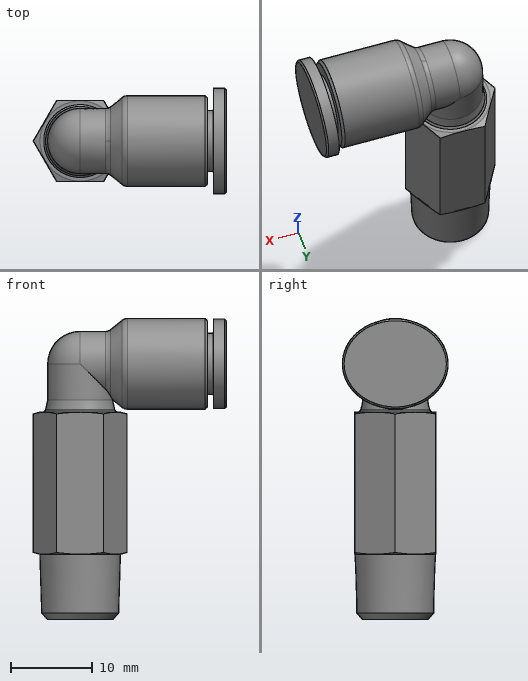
import cadquery as cq
import math

total_height = 37.0
thread_tip_radius = 4.0
thread_bottom_radius = 4.75
thread_top_radius = 4.95
thread_chamfer_height = 0.8

hex_bottom = 8.03
hex_top = 25.5
hex_across_flats = 10.0
hex_corner_radius = hex_across_flats / math.sqrt(3)
hex_chamfer_radius = 4.92
hex_chamfer_angle = 15.0

collar_base_radius = 4.48
collar_lip_radius = 4.25
collar_lip_z = 25.75
collar_top_z = 26.97

elbow_radius = 4.0
sleeve_radius = 5.6
sleeve_axis_z = total_height - sleeve_radius
cone_start_x = 3.48
cone_end_x = 5.45
cone_blend_radius = 1.0
sleeve_end_x = 15.65
sleeve_chamfer_length = 0.35
sleeve_chamfer_depth = 0.3

ring_neck_radius = 3.77
ring_neck_fillet = 0.1
ring_start_x = 16.35
ring_end_x = 17.95
ring_width = 13.0
ring_height = 11.03
ring_chamfer = 0.22


def make_thread():
    """Tapered thread envelope with a chamfered tip."""
    profile = [
        (0, 0),
        (thread_tip_radius, 0),
        (thread_bottom_radius, thread_chamfer_height),
        (thread_top_radius, hex_bottom),
        (0, hex_bottom),
    ]
    return cq.Workplane("XZ").polyline(profile).close().revolve(360, (0, 0), (0, 1))


def make_hexagon():
    """Hexagon with corners on the X axis, both ends turned to a shallow cone."""
    prism = (
        cq.Workplane("XY")
        .workplane(offset=hex_bottom)
        .polygon(6, 2 * hex_corner_radius)
        .extrude(hex_top - hex_bottom)
    )
    chamfer_width = hex_corner_radius - hex_chamfer_radius
    chamfer_drop = chamfer_width * math.tan(math.radians(hex_chamfer_angle))
    turned_profile = [
        (0, hex_bottom),
        (hex_chamfer_radius, hex_bottom),
        (hex_corner_radius, hex_bottom + chamfer_drop),
        (hex_corner_radius, hex_top - chamfer_drop),
        (hex_chamfer_radius, hex_top),
        (0, hex_top),
    ]
    turned = cq.Workplane("XZ").polyline(turned_profile).close().revolve(360, (0, 0), (0, 1))
    return prism.intersect(turned)


def make_stem():
    """Flared collar and round post up to the elbow centre, closed by a ball."""
    profile = [
        (0, hex_top),
        (collar_base_radius, hex_top),
        (collar_lip_radius, collar_lip_z),
        (elbow_radius, collar_top_z),
        (elbow_radius, sleeve_axis_z),
        (0, sleeve_axis_z),
    ]
    post = cq.Workplane("XZ").polyline(profile).close().revolve(360, (0, 0), (0, 1))
    ball = cq.Workplane("XY").sphere(elbow_radius).translate((0, 0, sleeve_axis_z))
    return post.union(ball)


def make_sleeve():
    """Elbow arm widening through a blended cone into the sleeve, with a chamfered free end."""
    profile = [
        (0, 0),
        (0, elbow_radius),
        (cone_start_x, elbow_radius),
        (cone_end_x, sleeve_radius),
        (sleeve_end_x - sleeve_chamfer_length, sleeve_radius),
        (sleeve_end_x, sleeve_radius - sleeve_chamfer_depth),
        (sleeve_end_x, 0),
    ]
    sleeve = cq.Workplane("XZ").polyline(profile).close().revolve(360, (0, 0), (1, 0))
    cone_edges = sleeve.faces("%CONE").faces("<X").edges("%CIRCLE")
    sleeve = cone_edges.fillet(cone_blend_radius)
    return sleeve.translate((0, 0, sleeve_axis_z))


def make_ring():
    """Oval release ring, wider along Y, on a round neck that joins the sleeve end."""
    ring = (
        cq.Workplane("YZ")
        .workplane(offset=ring_start_x)
        .center(0, sleeve_axis_z)
        .ellipse(ring_width / 2, ring_height / 2)
        .extrude(ring_end_x - ring_start_x)
        .faces(">X")
        .chamfer(ring_chamfer)
    )
    neck = (
        cq.Workplane("YZ")
        .workplane(offset=sleeve_end_x)
        .center(0, sleeve_axis_z)
        .circle(ring_neck_radius)
        .extrude(ring_start_x - sleeve_end_x)
    )
    return ring.union(neck).edges("%CIRCLE").edges(">X").fillet(ring_neck_fillet)


result = (
    make_thread()
    .union(make_hexagon())
    .union(make_stem())
    .union(make_sleeve())
    .union(make_ring())
)